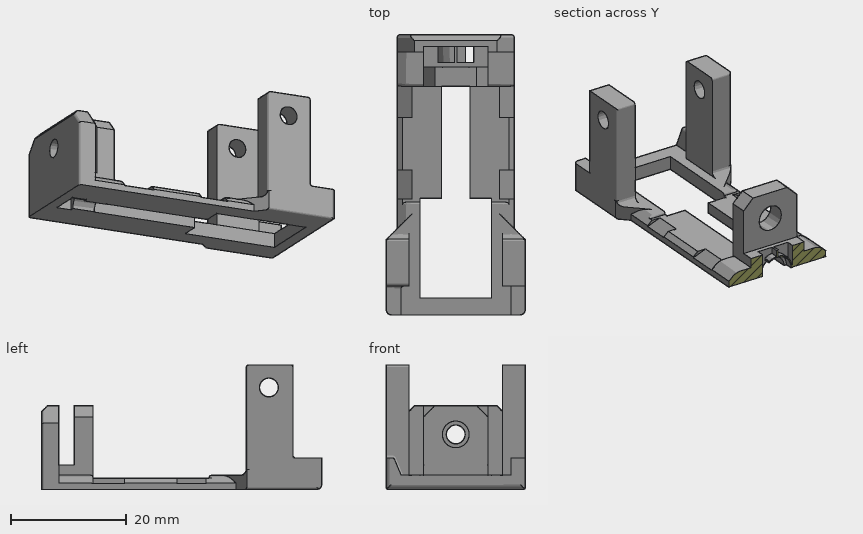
import cadquery as cq
import math

total_width = 24.05
total_length = 48.39
total_height = 21.53

plate_z = 2.5
deck_z = 2.0
wide_half = total_width / 2
narrow_half = 10.13
shoulder_sum = 25.0
front_round = 1.0
side_bottom_round = 0.45
small_round = 0.5
lip_round = 0.45
rail_blend = 0.45
deck_front_y = 19.5

window_half = 6.14
window_front_y = 2.98
window_rear_y = 20.12
slot_half = 2.43

shoulder_inner_x = 7.59
edge_radius = 2.85
edge_bevel_angle = math.radians(45)
edge_z = 1.18
notch_edge_z = 1.03

tower_thickness = 4.0
tower_front_y = 5.0
tower_rear_y = 13.1
tower_foot_radius = 1.0
tower_hole_y = 9.16
tower_hole_z = 17.64
bolt_diameter = 3.2
rail_z = 5.5
right_rail_width = 2.52
left_rail_top_width = 1.35
left_rail_foot_width = 2.6

wall_thickness = 3.0
wall_z = 14.5
wall_side_chamfer = 3.0
wall_rear_chamfer = 1.05
wall_corner_round = 0.6
recess_depth = 0.9
lug_half = 5.55
lug_front_y = 39.47
lug_thickness = 3.3
lug_chamfer = 1.95
saddle_z = 4.28
pivot_z = 9.54
lug_hole_diameter = 4.6

arch_diameter = 6.2
arch_skin = 0.3
arch_front_y = 43.6
arch_end_x = 1.71
arch_web_width = 0.4

wall_front_y = total_length - wall_thickness
recess_y = wall_front_y + recess_depth
deck_rear_y = lug_front_y + lip_round
notch_spans = [(20.03, 25.02), (34.06, deck_rear_y)]


def box(x0, x1, y0, y1, z0, z1):
    """Box between two opposite corners."""
    return cq.Workplane("XY").box(x1 - x0, y1 - y0, z1 - z0, centered=False).translate((x0, y0, z0))


def cylinder_y(diameter, z, y0, y1):
    """Cylinder along Y in the middle plane of the part."""
    return cq.Workplane("XZ", origin=(0, y0, z)).circle(diameter / 2).extrude(y0 - y1)


def extrude_along_y(profile, y0, y1):
    """Extrude a closed XZ profile from y0 to y1."""
    return profile.extrude(y0 - y1).translate((0, y0, 0))


def both_sides(shape):
    """The shape together with its mirror image across the middle plane."""
    return shape.union(shape.mirror("YZ"))


def wide_plan(height):
    """Wide front outline with its rear shoulders, extruded upward."""
    shoulder_y = shoulder_sum - wide_half
    inner_y = shoulder_sum - shoulder_inner_x
    half_outline = [(wide_half, 0), (wide_half, shoulder_y), (shoulder_inner_x, inner_y)]
    outline = half_outline + [(-x, y) for x, y in reversed(half_outline)]
    return cq.Workplane("XY").polyline(outline).close().extrude(height)


def narrow_block(y0, y1):
    """Length of narrow plate whose top rolls over to a 45 degree bevel at both long edges."""
    middle_angle = edge_bevel_angle / 2

    def roll_point(angle):
        x = shoulder_inner_x + edge_radius * math.sin(angle)
        z = plate_z - edge_radius * (1 - math.cos(angle))
        return x, z

    left_middle_x, left_middle_z = roll_point(middle_angle)
    left_end_x, left_end_z = roll_point(edge_bevel_angle)
    profile = (
        cq.Workplane("XZ")
        .moveTo(-narrow_half, 0)
        .lineTo(narrow_half, 0)
        .lineTo(narrow_half, edge_z)
        .lineTo(*roll_point(edge_bevel_angle))
        .threePointArc(roll_point(middle_angle), (shoulder_inner_x, plate_z))
        .lineTo(-shoulder_inner_x, plate_z)
        .threePointArc((-left_middle_x, left_middle_z), (-left_end_x, left_end_z))
        .lineTo(-narrow_half, edge_z)
        .close()
    )
    return extrude_along_y(profile, y0, y1)


def edge_notch(y0, y1):
    """Sloped notches on both long edges of the deck."""
    profile = (
        cq.Workplane("XZ")
        .moveTo(shoulder_inner_x, deck_z)
        .lineTo(narrow_half, notch_edge_z)
        .lineTo(narrow_half, plate_z)
        .lineTo(shoulder_inner_x, plate_z)
        .close()
    )
    return both_sides(extrude_along_y(profile, y0, y1))


def rounded_end(block, end):
    """Round the rolled upper edges at the front (<Y) or rear (>Y) end of a narrow block."""
    end_edges = block.faces(end).edges("not (<Z or |Z)")
    return end_edges.fillet(lip_round)


def narrow_plate():
    """Full-height blocks at both ends of the narrow plate with the lower deck between them."""
    shoulder_y = shoulder_sum - wide_half
    front_block = rounded_end(narrow_block(shoulder_y, deck_front_y), ">Y")
    rear_block = rounded_end(narrow_block(lug_front_y, wall_front_y), "<Y")
    above_deck = box(-narrow_half, narrow_half, shoulder_y, deck_rear_y, deck_z, plate_z)
    deck = narrow_block(shoulder_y, deck_rear_y).cut(above_deck)
    for notch_front_y, notch_rear_y in notch_spans:
        deck = deck.cut(edge_notch(notch_front_y, notch_rear_y))
    return deck.union(front_block).union(rear_block)


def tower():
    """Right-hand tower with a rounded rear edge and a filleted rear foot."""
    inner_x = wide_half - tower_thickness
    column = box(inner_x, wide_half, tower_front_y, tower_rear_y, 0, total_height)
    column = column.edges("(>Y and >Z) or (>Y and >X)").fillet(small_round)
    foot_rear_y = tower_rear_y + tower_foot_radius
    foot_z = plate_z + tower_foot_radius
    foot_front_y = tower_rear_y - small_round
    foot = box(inner_x, wide_half, foot_front_y, foot_rear_y, 0, foot_z)
    hollow = (
        cq.Workplane("YZ", origin=(inner_x, foot_rear_y, foot_z))
        .circle(tower_foot_radius)
        .extrude(tower_thickness)
    )
    return column.union(foot.cut(hollow)).intersect(wide_plan(total_height))


def left_tower():
    """Mirrored tower with a rounded front top edge, blended into a sloped rail before it."""
    column = tower().mirror("YZ")
    top_edge = cq.selectors.NearestToPointSelector(
        (-wide_half + tower_thickness / 2, tower_front_y, total_height)
    )
    column = column.edges(top_edge).fillet(small_round)
    combined = column.union(left_rail())
    joint = cq.selectors.BoxSelector(
        (-wide_half, tower_front_y - rail_blend, deck_z / 2),
        (-wide_half + tower_thickness, tower_front_y + rail_blend, rail_z + rail_blend),
    )
    return combined.edges("not (|Y or |Z)").edges(joint).fillet(rail_blend)


def left_rail():
    """Low rail whose sloped inner side runs on down into the plate."""
    top_x = -wide_half + left_rail_top_width
    foot_x = -wide_half + left_rail_foot_width
    bottom_x = foot_x + (foot_x - top_x) * plate_z / (rail_z - plate_z)
    profile = (
        cq.Workplane("XZ")
        .moveTo(-wide_half, 0)
        .lineTo(-wide_half, rail_z)
        .lineTo(top_x, rail_z)
        .lineTo(bottom_x, 0)
        .close()
    )
    rail = extrude_along_y(profile, 0, tower_front_y)
    crest = cq.selectors.NearestToPointSelector((top_x, tower_front_y / 2, rail_z))
    return rail.edges(crest).fillet(small_round)


def front_frame():
    """Wide plate with rails and towers, rounded along its outer edges."""
    right_rail = box(wide_half - right_rail_width, wide_half, 0, tower_front_y, 0, rail_z)
    frame = wide_plan(plate_z).union(right_rail).union(tower()).union(left_tower())
    sides = box(-wide_half, wide_half, 0, total_length, 0, total_height)
    across = sides.edges("|Y and <Z").fillet(side_bottom_round)
    along = sides.edges("|X and <Y and <Z").fillet(front_round)
    corners = sides.edges("|Z and <Y").fillet(front_round)
    return frame.intersect(across).intersect(along).intersect(corners)


def rear_wall():
    """Rear wall with bevelled top corners and a shallow recess facing the lug."""
    wall = box(-narrow_half, narrow_half, wall_front_y, total_length, 0, wall_z)
    wall = wall.edges("|Y and >Z").chamfer(wall_side_chamfer)
    wall = wall.faces(">Y").edges("not |X").fillet(wall_corner_round)
    bevel = (
        cq.Workplane("YZ", origin=(-narrow_half, 0, 0))
        .moveTo(total_length, wall_z - wall_rear_chamfer)
        .lineTo(total_length, wall_z)
        .lineTo(total_length - wall_rear_chamfer, wall_z)
        .close()
        .extrude(2 * narrow_half)
    )
    recess = box(-lug_half, lug_half, wall_front_y, recess_y, saddle_z, wall_z)
    bolt = cylinder_y(bolt_diameter, pivot_z, wall_front_y, total_length)
    return wall.cut(bevel).cut(recess).cut(bolt)


def lug():
    """Upright lug and the saddle that ties it to the rear wall."""
    lug_rear_y = lug_front_y + lug_thickness
    upright = box(-lug_half, lug_half, lug_front_y, lug_rear_y, 0, wall_z)
    upright = upright.edges("|Y and >Z").chamfer(lug_chamfer)
    upright = upright.cut(cylinder_y(lug_hole_diameter, pivot_z, lug_front_y, lug_rear_y))
    return upright.union(box(-lug_half, lug_half, lug_front_y, recess_y, 0, saddle_z))


def arch_opening():
    """Opening through the saddle, leaving a thin arched skin and its middle web."""
    half = arch_diameter / 2
    opening = box(-half, half, arch_front_y, recess_y, 0, saddle_z)
    skin = cylinder_y(arch_diameter, 0, arch_front_y, recess_y)
    skin = skin.cut(cylinder_y(arch_diameter - 2 * arch_skin, 0, arch_front_y, recess_y))
    skin = skin.intersect(box(-half, arch_end_x, arch_front_y, recess_y, 0, half))
    web_half = arch_web_width / 2
    web = box(-web_half, web_half, arch_front_y, recess_y, half - arch_skin, saddle_z)
    return opening.cut(skin).cut(web)


body = narrow_plate().union(front_frame())

body = body.cut(box(-window_half, window_half, window_front_y, window_rear_y, 0, plate_z))
body = body.cut(box(-slot_half, slot_half, window_rear_y, lug_front_y, 0, plate_z))
body = body.union(rear_wall()).union(lug())

body = body.cut(cylinder_y(lug_hole_diameter, 0, lug_front_y, arch_front_y))
body = body.cut(arch_opening())

tower_bolt = (
    cq.Workplane("YZ", origin=(-wide_half, tower_hole_y, tower_hole_z))
    .circle(bolt_diameter / 2)
    .extrude(total_width)
)
result = body.cut(tower_bolt)